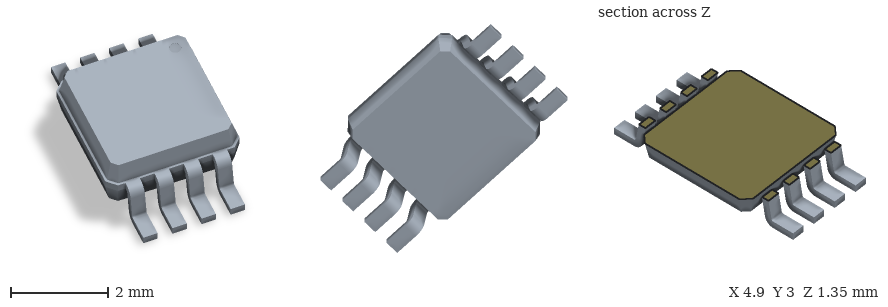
import cadquery as cq
import math

lead_span = 4.9
body_size = 3.0
overall_height = 1.35

standoff = 0.25
band_thickness = 0.18
half_height = (overall_height - standoff - band_thickness) / 2
band_bottom = standoff + half_height
band_top = band_bottom + band_thickness
body_draft = 12.0
corner_chamfer = 0.2
upper_corner_chamfer = 0.182
ledge_width = 0.05
upper_size = body_size - 2 * ledge_width
top_face_size = upper_size - 2 * half_height * math.tan(math.radians(body_draft))

mark_edge_distance = 0.3
mark_offset = top_face_size / 2 - mark_edge_distance
mark_diameter = 0.25
mark_depth = 0.01

leads_per_side = 4
lead_pitch = 0.65
lead_width = 0.32
lead_thickness = band_thickness
inner_bend_radius = 0.05
outer_bend_radius = inner_bend_radius + lead_thickness
foot_length = 0.543
leg_lean = 10.0
lead_embed = 0.2


def chamfered_square(size, chamfer, base_height):
    """Closed square wire with 45 degree corners, lying at base_height."""
    half = size / 2
    inner = half - chamfer
    return (
        cq.Workplane("XY", origin=(0, 0, base_height))
        .polyline(
            [
                (half, -inner),
                (half, inner),
                (inner, half),
                (-inner, half),
                (-half, inner),
                (-half, -inner),
                (-inner, -half),
                (inner, -half),
            ]
        )
        .close()
    )


def make_body():
    band = chamfered_square(body_size, corner_chamfer, band_bottom).extrude(band_thickness)
    upper = chamfered_square(upper_size, upper_corner_chamfer, band_top).extrude(half_height, taper=body_draft)
    lower = chamfered_square(body_size, corner_chamfer, band_bottom).extrude(-half_height, taper=body_draft)
    return band.union(upper).union(lower)


def make_pin_mark():
    return (
        cq.Workplane("XY", origin=(-mark_offset, mark_offset, overall_height - mark_depth))
        .circle(mark_diameter / 2)
        .extrude(mark_depth)
    )


def on_bend(center, radius, angle, direction):
    """Point on a bend, at an angle from vertical; direction is +1 for the top bend, -1 for the foot."""
    x = center[0] - direction * radius * math.sin(angle)
    z = center[1] + direction * radius * math.cos(angle)
    return (x, z)


def make_lead(y_center):
    """One lead on the -X side, extruded along Y from its bent-strip profile."""
    bend_angle = math.radians(90 - leg_lean)
    toe_x = -lead_span / 2
    foot_center = (toe_x + foot_length, outer_bend_radius)
    top_center_z = band_top - outer_bend_radius

    bend_reach = (inner_bend_radius + outer_bend_radius) * math.sin(bend_angle)
    bend_rise = (inner_bend_radius + outer_bend_radius) * math.cos(bend_angle)
    leg_rise = top_center_z - foot_center[1] + bend_rise
    leg_run = leg_rise * math.tan(math.radians(leg_lean))
    top_center = (foot_center[0] + bend_reach + leg_run, top_center_z)
    root_x = -body_size / 2 + lead_embed

    def foot_bend(radius, angle):
        return on_bend(foot_center, radius, angle, -1)

    def top_bend(radius, angle):
        return on_bend(top_center, radius, angle, 1)

    profile = (
        cq.Workplane("XZ", origin=(0, y_center + lead_width / 2, 0))
        .moveTo(toe_x, 0)
        .lineTo(*foot_bend(outer_bend_radius, 0))
        .threePointArc(
            foot_bend(outer_bend_radius, bend_angle / 2),
            foot_bend(outer_bend_radius, bend_angle),
        )
        .lineTo(*top_bend(inner_bend_radius, bend_angle))
        .threePointArc(top_bend(inner_bend_radius, bend_angle / 2), top_bend(inner_bend_radius, 0))
        .lineTo(root_x, band_bottom)
        .lineTo(root_x, band_top)
        .lineTo(*top_bend(outer_bend_radius, 0))
        .threePointArc(
            top_bend(outer_bend_radius, bend_angle / 2),
            top_bend(outer_bend_radius, bend_angle),
        )
        .lineTo(*foot_bend(inner_bend_radius, bend_angle))
        .threePointArc(foot_bend(inner_bend_radius, bend_angle / 2), foot_bend(inner_bend_radius, 0))
        .lineTo(toe_x, lead_thickness)
        .close()
    )
    return profile.extrude(lead_width)


result = make_body().cut(make_pin_mark())
for index in range(leads_per_side):
    lead_y = (index - (leads_per_side - 1) / 2) * lead_pitch
    lead = make_lead(lead_y)
    result = result.union(lead).union(lead.mirror("YZ"))